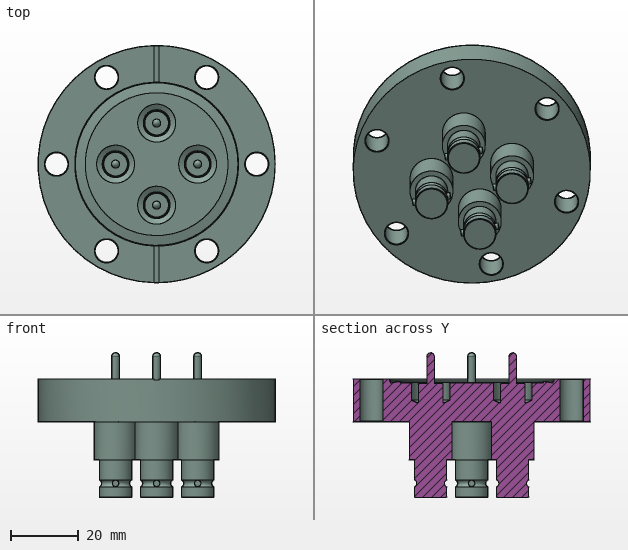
import cadquery as cq
import math

flange_dia = 69.85
flange_thickness = 12.7

locating_bore_dia = 48.3
locating_bore_depth = 0.7
seal_groove_dia = 47.85
seal_groove_depth = 1.2
knife_edge_dia = 42.05
knife_edge_depth = 0.7
floor_depth = 1.1

bolt_count = 6
bolt_circle_dia = 58.95
bolt_hole_dia = 6.7
bolt_chamfer = 0.2

leak_groove_width = 1.5
leak_groove_depth = 0.4

feedthrough_count = 4
feedthrough_circle_dia = 24.2

well_dia = 11.2
well_bottom_dia = 7.9
well_wall_depth = 5.2
well_floor_drop = 0.8
post_dia = 7.3
post_chamfer = 0.175
post_drop = 0.2

pin_dia = 2.4
pin_height = 7.7

sleeve_dia = 12.65
sleeve_length = 11.2
connector_dia = 9.6
connector_length = 11.1
connector_chamfer = 0.2
ring_groove_width = 2.0
ring_groove_depth = 0.6
lug_dia = 1.9
lug_span = 11.25
lug_height = 4.2

post_top_z = -floor_depth - post_drop
well_wall_bottom_z = -floor_depth - well_wall_depth
well_bottom_z = well_wall_bottom_z - well_floor_drop
sleeve_bottom_z = -flange_thickness - sleeve_length
connector_bottom_z = sleeve_bottom_z - connector_length
lug_z = connector_bottom_z + lug_height


def cylinder(diameter, bottom_z, top_z):
    """Upright cylinder on the Z axis."""
    return cq.Workplane("XY").workplane(offset=bottom_z).circle(diameter / 2).extrude(top_z - bottom_z)


def revolve_profile(profile):
    """Turn an XZ outline (x = radius) once around the Z axis."""
    return profile.close().revolve(360, (0, 0, 0), (0, 1, 0))


def make_seal_recess():
    return revolve_profile(
        cq.Workplane("XZ")
        .moveTo(0, 0)
        .lineTo(locating_bore_dia / 2, 0)
        .lineTo(locating_bore_dia / 2, -locating_bore_depth)
        .lineTo(seal_groove_dia / 2, -locating_bore_depth)
        .lineTo(seal_groove_dia / 2, -seal_groove_depth)
        .lineTo(knife_edge_dia / 2, -knife_edge_depth)
        .lineTo(knife_edge_dia / 2, -floor_depth)
        .lineTo(0, -floor_depth)
    )


def make_flange():
    flange = cylinder(flange_dia, -flange_thickness, 0)
    drilled = (
        flange.faces(">Z").workplane()
        .polarArray(bolt_circle_dia / 2, 0, 360, bolt_count)
        .hole(bolt_hole_dia)
    )
    chamfered = drilled.edges(cq.selectors.RadiusNthSelector(0)).chamfer(bolt_chamfer)
    leak_groove = cq.Workplane("XY").box(
        leak_groove_width, flange_dia, leak_groove_depth, centered=(True, True, False)
    ).translate((0, 0, -leak_groove_depth))
    return chamfered.cut(leak_groove).cut(make_seal_recess())


def make_well():
    """Cavity around the post, open at the recess floor and tapering inward at its bottom."""
    cavity = revolve_profile(
        cq.Workplane("XZ")
        .moveTo(0, -floor_depth)
        .lineTo(well_dia / 2, -floor_depth)
        .lineTo(well_dia / 2, well_wall_bottom_z)
        .lineTo(well_bottom_dia / 2, well_bottom_z)
        .lineTo(0, well_bottom_z)
    )
    post = cylinder(post_dia, well_bottom_z, post_top_z).faces(">Z").chamfer(post_chamfer)
    return cavity.cut(post)


def make_pin():
    pin_radius = pin_dia / 2
    dome_offset = pin_radius * math.cos(math.pi / 4)
    dome_base_z = pin_height - pin_radius
    return revolve_profile(
        cq.Workplane("XZ")
        .moveTo(0, well_bottom_z)
        .lineTo(pin_radius, well_bottom_z)
        .lineTo(pin_radius, dome_base_z)
        .threePointArc((dome_offset, dome_base_z + dome_offset), (0, pin_height))
    )


def make_connector():
    """Sleeve, connector barrel with its ring groove, and the two bayonet lugs."""
    sleeve = cylinder(sleeve_dia, sleeve_bottom_z, -flange_thickness)
    radius = connector_dia / 2
    barrel = revolve_profile(
        cq.Workplane("XZ")
        .moveTo(0, connector_bottom_z)
        .lineTo(radius - connector_chamfer, connector_bottom_z)
        .lineTo(radius, connector_bottom_z + connector_chamfer)
        .lineTo(radius, lug_z - ring_groove_width / 2)
        .threePointArc((radius - ring_groove_depth, lug_z), (radius, lug_z + ring_groove_width / 2))
        .lineTo(radius, sleeve_bottom_z)
        .lineTo(0, sleeve_bottom_z)
    )
    lugs = (
        cq.Workplane("XZ").center(0, lug_z).circle(lug_dia / 2)
        .extrude(lug_span / 2, both=True)
    )
    return sleeve.union(barrel).union(lugs)


result = make_flange()
for index in range(feedthrough_count):
    angle = 2 * math.pi * index / feedthrough_count
    place = (
        feedthrough_circle_dia / 2 * math.cos(angle),
        feedthrough_circle_dia / 2 * math.sin(angle),
        0,
    )
    result = result.cut(make_well().translate(place))
    result = result.union(make_pin().translate(place))
    result = result.union(make_connector().translate(place))